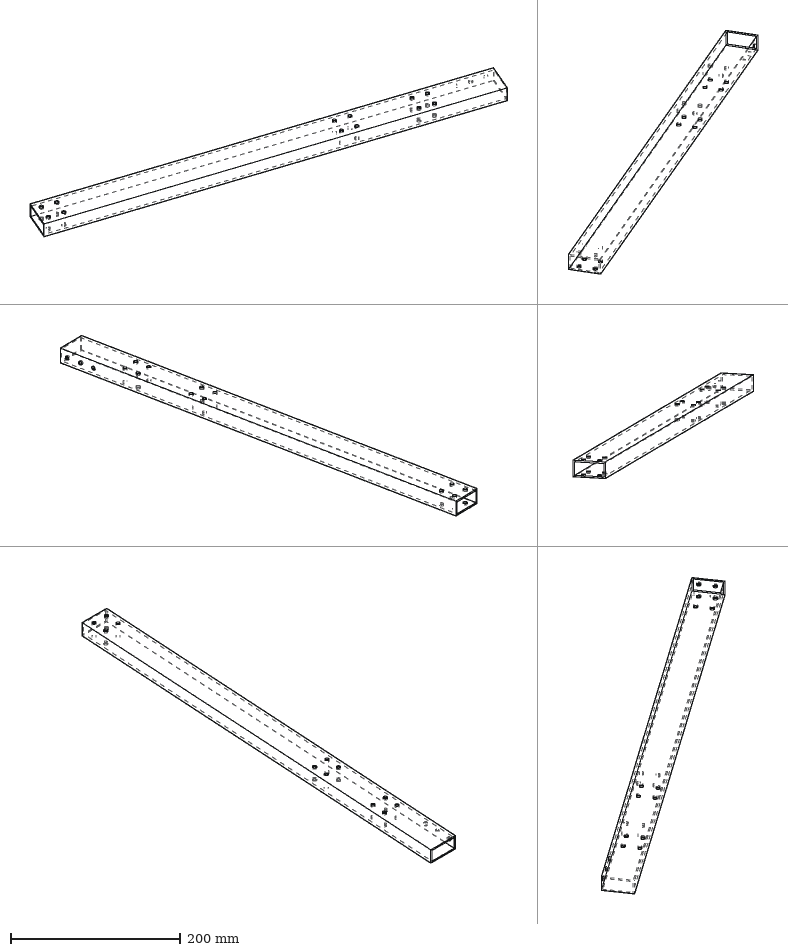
import cadquery as cq

length = 600.0
width = length / 15
height = width / 2
wall = width / 20

hole_diameter = width / 8
hole_pitch = width / 2
end_margin = hole_pitch / 2

middle_group_offset = 200.5
rear_group_offset = length / 6

front_end = -length / 2
back_end = length / 2

group_centers = [
    front_end + end_margin + hole_pitch / 2,
    back_end - middle_group_offset,
    back_end - rear_group_offset,
]
side_hole_count = 3


def make_tube():
    outer = cq.Workplane("XY").box(width, length, height)
    bore = cq.Workplane("XY").box(width - 2 * wall, length, height - 2 * wall)
    return outer.cut(bore)


def vertical_holes(center_y):
    """Square group of four drills passing through the top and bottom walls."""
    return (
        cq.Workplane("XY")
        .center(0, center_y)
        .rect(hole_pitch, hole_pitch, forConstruction=True)
        .vertices()
        .circle(hole_diameter / 2)
        .extrude(height, both=True)
    )


def side_holes():
    """Row of drills near the back end, passing through the -X side wall only."""
    centers = [(back_end - end_margin - i * hole_pitch, 0) for i in range(side_hole_count)]
    return (
        cq.Workplane("YZ", origin=(-width / 2, 0, 0))
        .pushPoints(centers)
        .circle(hole_diameter / 2)
        .extrude(width / 2)
    )


result = make_tube()
for group_center in group_centers:
    result = result.cut(vertical_holes(group_center))
result = result.cut(side_holes())